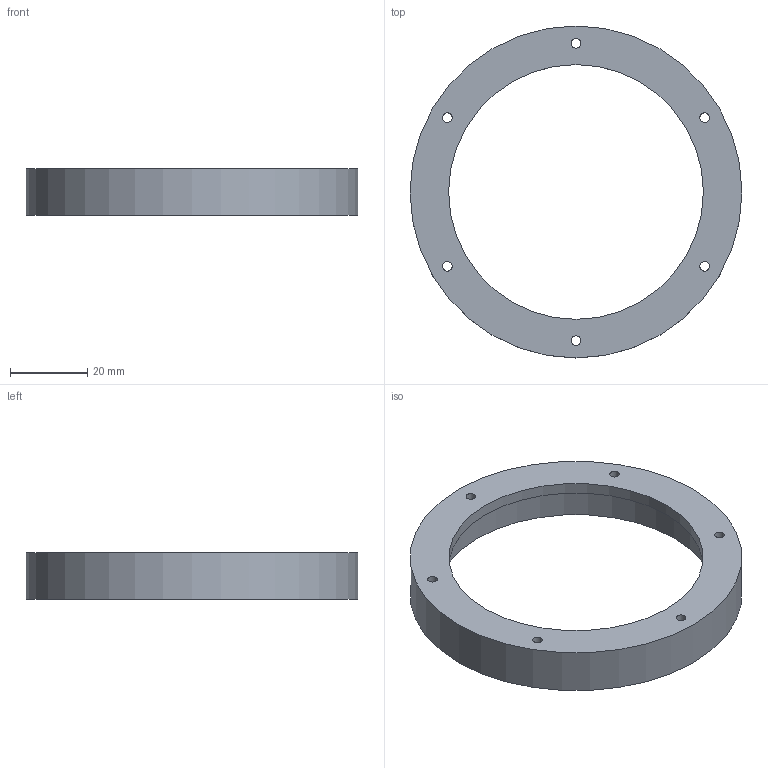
import cadquery as cq

outer_diameter = 86.0
height = 12.0

lip_diameter = 66.0
lip_thickness = 3.0
recess_diameter = 72.0
recess_depth = height - lip_thickness

hole_count = 6
hole_diameter = 2.5
hole_circle_diameter = 77.0
first_hole_angle = 90.0


def cylinder(diameter, length):
    """Cylinder on the Z axis rising from the bottom face."""
    return cq.Workplane("XY").circle(diameter / 2).extrude(length)


def screw_holes():
    """Evenly spaced cylinders for the screw holes, the first one on +Y."""
    return (
        cq.Workplane("XY")
        .polarArray(hole_circle_diameter / 2, first_hole_angle, 360, hole_count)
        .circle(hole_diameter / 2)
        .extrude(height)
    )


ring = cylinder(outer_diameter, height).cut(cylinder(lip_diameter, height))
recessed_ring = ring.cut(cylinder(recess_diameter, recess_depth))
result = recessed_ring.cut(screw_holes())